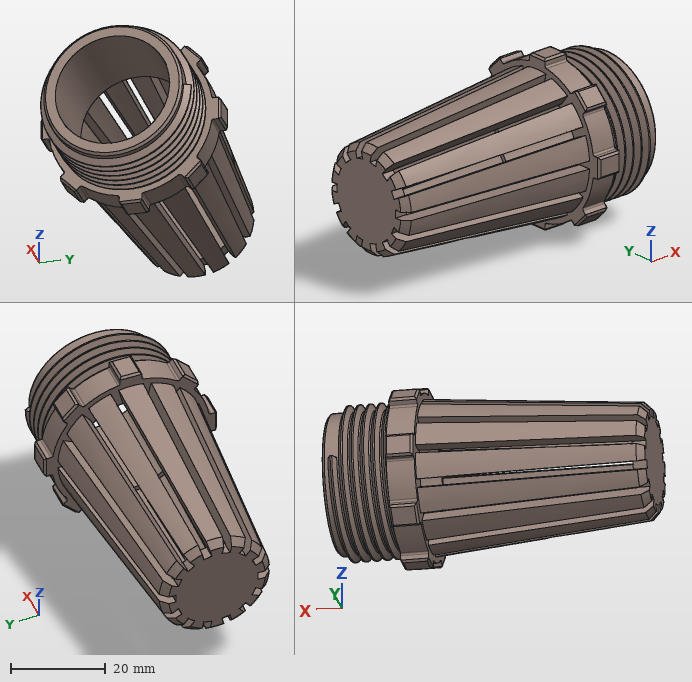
import cadquery as cq
import math

LENGTH = 68.8
FLANGE_START = 48.3
FLANGE_END = 54.35

SLOT_COUNT = 14
SLOT_WIDTH = 1.85
TIP_RADIUS = 12.6
TIP_CHAMFER = 1.6
CAGE_BASE_RADIUS = 16.7
CAP_THICKNESS = 3.0
SLOT_FLOOR_RADIUS = 9.35
CAVITY_TIP_RADIUS = 9.55
FINGER_BASE_THICKNESS = 3.15

FLANGE_RADIUS = 18.0
LUG_COUNT = 8
LUG_TIP_RADIUS = 19.75
LUG_WIDTH = 5.0
LUG_CHAMFER = 0.5
LUG_ROOT_FILLET = 0.5

BORE_RADIUS = 12.5
COLLAR_RADIUS = 15.2
COLLAR_CHAMFER = 0.55
THREAD_RADIUS = 16.65
THREAD_PITCH = 2.305
THREAD_TURNS = 6
THREAD_END = 66.5
THREAD_ROOT_WIDTH = 1.9
THREAD_CREST_WIDTH = 0.35
THREAD_OVERLAP = 0.2


def revolve_profile(points):
    """Turn an outline of (x, radius) points about the X axis."""
    return cq.Workplane("XY").polyline(points).close().revolve(360, (0, 0, 0), (1, 0, 0))


def solid_cylinder(radius, start, end):
    """Cylinder about the X axis between two positions along it."""
    return cq.Workplane("YZ", origin=(start, 0, 0)).circle(radius).extrude(end - start)


def make_cage():
    """Tapered basket of fingers joined by the cap."""
    body = revolve_profile([
        (0, 0),
        (0, TIP_RADIUS - TIP_CHAMFER),
        (TIP_CHAMFER, TIP_RADIUS),
        (FLANGE_START, CAGE_BASE_RADIUS),
        (FLANGE_START, CAGE_BASE_RADIUS - FINGER_BASE_THICKNESS),
        (CAP_THICKNESS, CAVITY_TIP_RADIUS),
        (CAP_THICKNESS, 0),
    ])
    slot_depth = FLANGE_RADIUS - SLOT_FLOOR_RADIUS
    slots = (
        cq.Workplane("YZ")
        .polarArray(SLOT_FLOOR_RADIUS + slot_depth / 2, 0, 360, SLOT_COUNT)
        .rect(slot_depth, SLOT_WIDTH)
        .extrude(FLANGE_START)
    )
    return body.cut(slots)


def make_lug():
    """One lug pointing along +Y, chamfered around its outer face."""
    length = FLANGE_END - FLANGE_START
    height = LUG_TIP_RADIUS - BORE_RADIUS
    return (
        cq.Workplane("XY")
        .box(length, height, LUG_WIDTH, centered=(False, False, True))
        .translate((FLANGE_START, BORE_RADIUS, 0))
        .faces(">Y")
        .chamfer(LUG_CHAMFER)
    )


def make_flange():
    """Round flange with lugs blended into its rim."""
    flange = solid_cylinder(FLANGE_RADIUS, FLANGE_START, FLANGE_END)
    lug = make_lug()
    for index in range(LUG_COUNT):
        flange = flange.union(lug.rotate((0, 0, 0), (1, 0, 0), index * 360 / LUG_COUNT))

    root_reach = FLANGE_RADIUS + LUG_ROOT_FILLET / 2
    roots = flange.edges("|X").filter(
        lambda edge: math.hypot(edge.Center().y, edge.Center().z) < root_reach
    )
    return flange.newObject(roots.vals()).fillet(LUG_ROOT_FILLET)


def make_thread():
    """Right-handed external thread that starts inside the flange."""
    height = THREAD_PITCH * THREAD_TURNS
    sunk_radius = COLLAR_RADIUS - THREAD_OVERLAP
    flank_slope = (THREAD_ROOT_WIDTH - THREAD_CREST_WIDTH) / 2 / (THREAD_RADIUS - COLLAR_RADIUS)
    half_root = THREAD_ROOT_WIDTH / 2 + flank_slope * THREAD_OVERLAP
    half_crest = THREAD_CREST_WIDTH / 2
    tooth = (
        cq.Workplane("XZ")
        .polyline([
            (sunk_radius, -half_root),
            (THREAD_RADIUS, -half_crest),
            (THREAD_RADIUS, half_crest),
            (sunk_radius, half_root),
        ])
        .close()
    )
    helix = cq.Wire.makeHelix(THREAD_PITCH, height, sunk_radius)
    coil = tooth.sweep(cq.Workplane(obj=helix), isFrenet=True).val()
    along_x = cq.Plane(origin=(THREAD_END - height, 0, 0), xDir=(0, 1, 0), normal=(1, 0, 0))
    return cq.Workplane(obj=coil.moved(cq.Location(along_x)))


def make_collar():
    """Plain tube body carrying the thread."""
    collar = solid_cylinder(COLLAR_RADIUS, FLANGE_START, LENGTH)
    return collar.faces(">X").chamfer(COLLAR_CHAMFER).union(make_thread())


bore = solid_cylinder(BORE_RADIUS, FLANGE_START, LENGTH)

result = make_flange().union(make_collar()).cut(bore).union(make_cage())